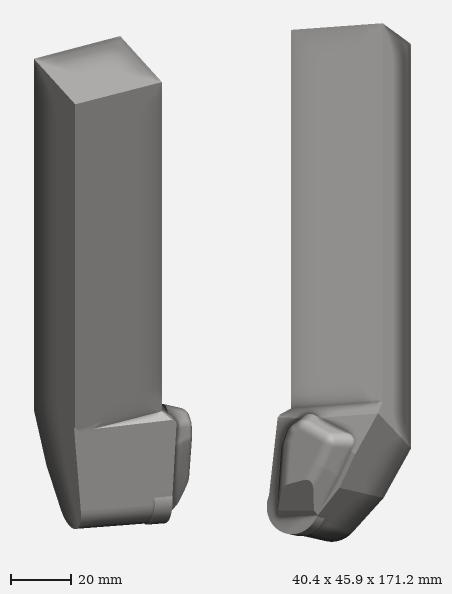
import cadquery as cq
import math


total_height = 171.3
shank_width = 31.9
shank_depth = 31.9
left_draft = 0.3

head_depth = 37.0
head_top = 44.5
flare_top = 42.7
right_flare_slope = 1.4
reach = 51.4

insert_diameter = 19.0
insert_thickness = 6.3
insert_center = (31.0, 32.5, 9.5)
axis_lean = 0.118

nose_radius = 9.0
side_lean = math.radians(10)
knee_x = -17.1
upper_relief_slope = 1.68
outline_rise = 85.7

clamp_taper = 24.0
clamp_height = 9.5
clamp_edge_radius = 4.0
clamp_base_y = 33.2
clamp_blank_depth = 14.7
clamp_outline = [
    (4.5, 30.3),
    (24.0, 41.6),
    (32.4, 36.5),
    (35.0, 29.6),
    (36.3, 5.8),
    (22.1, 5.3),
    (13.4, 16.8),
]
finger_heel = (44.2, 15.8)
finger_toe = (34.6, 5.1)
sharp_end = 0.9

seat_plane = cq.Plane(
    origin=insert_center,
    xDir=(1, -axis_lean, 0),
    normal=(-axis_lean, -1, axis_lean),
)


def make_insert():
    """Round cutting insert."""
    return cq.Workplane(seat_plane).circle(insert_diameter / 2).extrude(insert_thickness)


def head_prism():
    """Nose, right side and left relief faces, running along the insert axis and ending at the seat."""
    side_x = nose_radius * math.cos(side_lean)
    side_y = nose_radius * math.sin(side_lean)
    diagonal = nose_radius * math.sqrt(0.5)
    knee_y = -2 * diagonal - knee_x
    return (
        cq.Workplane(seat_plane)
        .moveTo(-diagonal, -diagonal)
        .threePointArc((diagonal, -diagonal), (side_x, side_y))
        .lineTo(side_x - (outline_rise - side_y) * math.tan(side_lean), outline_rise)
        .lineTo(knee_x - (outline_rise - knee_y) / upper_relief_slope, outline_rise)
        .lineTo(knee_x, knee_y)
        .close()
        .extrude(reach)
    )


def bar_envelope():
    """Shank with the flares to the wider head: the common part of a plan, a side and a front outline."""
    plan = (
        cq.Workplane("XY")
        .polyline([(left_draft, 0), (reach, 0), (reach, head_depth), (0, head_depth)])
        .close()
        .extrude(total_height)
    )
    back_drop = head_depth - shank_depth
    side = (
        cq.Workplane("YZ")
        .polyline([
            (0, 0),
            (head_depth, 0),
            (head_depth, flare_top - back_drop),
            (shank_depth, flare_top),
            (shank_depth, total_height),
            (0, total_height),
        ])
        .close()
        .extrude(reach)
    )
    right_drop = (reach - shank_width) / right_flare_slope
    front = (
        cq.Workplane("XZ")
        .polyline([
            (0, 0),
            (reach, 0),
            (reach, flare_top - right_drop),
            (shank_width, flare_top),
            (shank_width, total_height),
            (0, total_height),
        ])
        .close()
        .extrude(-reach)
    )
    return plan.intersect(side).intersect(front)


def make_bar():
    """Square shank whose lower end is trimmed to the head outline."""
    envelope = bar_envelope()
    lower_end = cq.Workplane("XY").box(reach, reach, head_top, centered=False)
    shank = envelope.cut(lower_end)
    head = envelope.intersect(head_prism())
    return shank.union(head)


def seat_side(height):
    """Space in front of a plane parallel to the seat, at a height behind it."""
    width = 4 * reach
    return cq.Workplane(seat_plane).workplane(offset=-height).rect(width, width).extrude(2 * reach)


def finger_space():
    """Space above the slope that forms the clamp finger."""
    toe_y, toe_z = finger_toe
    heel_y, heel_z = finger_heel
    slope = (heel_z - toe_z) / (heel_y - toe_y)
    return (
        cq.Workplane("YZ")
        .polyline([
            (0, toe_z - toe_y * slope),
            (reach, toe_z + (reach - toe_y) * slope),
            (reach, reach),
            (0, reach),
        ])
        .close()
        .extrude(reach)
    )


def make_clamp():
    """Tapered block with rounded edges and a finger that slopes down onto the insert."""
    blank = (
        cq.Workplane("XZ", origin=(0, clamp_base_y, 0))
        .polyline(clamp_outline)
        .close()
        .extrude(-clamp_blank_depth, taper=clamp_taper)
    )
    block = blank.intersect(seat_side(clamp_height)).intersect(finger_space())

    above_finger = cq.selectors.BoxSelector(
        (0, clamp_base_y, finger_heel[1] + sharp_end),
        (reach, reach, reach),
    )
    block = block.edges("not(|X)").edges(above_finger).edges("not(#Y)").fillet(clamp_edge_radius)

    flat_back_side = cq.Workplane("XY").box(reach, head_depth, reach, centered=False)
    return block.cut(seat_side(0).intersect(flat_back_side))


insert = make_insert()
holder = make_bar().union(make_clamp()).cut(insert).solids()
result = cq.Compound.makeCompound([holder.val(), insert.val()])